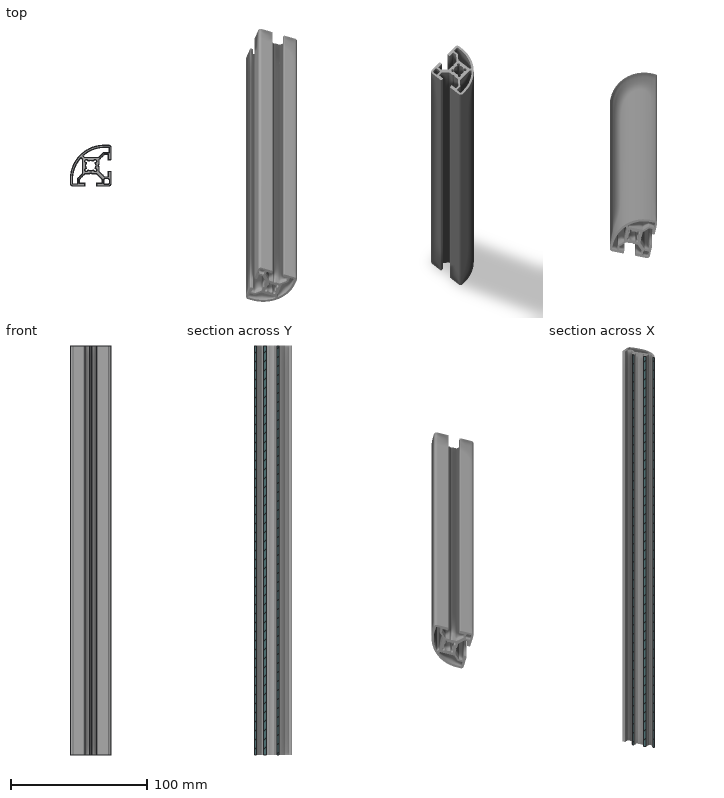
import cadquery as cq
import math

SIZE = 30.0
LENGTH = 300.0
HALF = SIZE / 2

ARC_RADIUS = 25.0
CORNER_RADIUS = 2.0
ARC_WALL = 1.65
LIP_WALL = 1.6

SLOT_OPENING = 8.45
SLOT_WIDTH = 16.5
LIP_THICKNESS = 2.2
LIP_FILLET = 0.6
FLOOR_WIDTH = 8.6
FLOOR_FILLET = 0.3
GROOVE_HALF_WIDTH = 1.0
GROOVE_SLOPE = math.radians(30)

CORE_HALF = 6.05
BORE_HALF = 3.2
BORE_RADIUS = 3.7
RELIEF_RADIUS = 1.1

WEB = 1.35
BRIDGE = 2.0
CORNER_WALL = 1.35
CORNER_CAVITY_FILLET = 0.9

ARC_CENTRE = (HALF - (SIZE - ARC_RADIUS), (SIZE - ARC_RADIUS) - HALF)
INNER_ARC_RADIUS = ARC_RADIUS - ARC_WALL
SLOT_HALF = SLOT_WIDTH / 2
CAVITY_EDGE = SLOT_HALF + WEB


def on_arc(radius, angle):
    """Point on a circle about ARC_CENTRE, at an angle up from the -X direction."""
    return ARC_CENTRE[0] - radius * math.cos(angle), ARC_CENTRE[1] + radius * math.sin(angle)


def vertical_edge(x, y):
    return cq.selectors.NearestToPointSelector((x, y, LENGTH / 2))


def fillet_at(body, points, radius):
    for x, y in points:
        body = body.edges("|Z").edges(vertical_edge(x, y)).fillet(radius)
    return body


def across_diagonal(solid):
    """Mirror image that swaps the -Y side with the +X side."""
    return solid.mirror("YZ").rotate((0, 0, 0), (0, 0, 1), 90)


def envelope():
    corners = [(-HALF, -HALF), (HALF, -HALF), (HALF, HALF)]
    body = (
        cq.Workplane("XY")
        .polyline([(-HALF, ARC_CENTRE[1]), *corners, (ARC_CENTRE[0], HALF)])
        .threePointArc(on_arc(ARC_RADIUS, math.pi / 4), (-HALF, ARC_CENTRE[1]))
        .close()
        .extrude(LENGTH)
    )
    return fillet_at(body, corners, CORNER_RADIUS)


def bottom_slot():
    """T-slot with 45 degree flanks beside its floor, a V-groove along it and rounded lip edges."""
    flank_run = SLOT_HALF - FLOOR_WIDTH / 2
    mouth = SLOT_OPENING / 2
    lip_top = LIP_THICKNESS - HALF
    right_half = [
        (mouth, lip_top),
        (SLOT_HALF, lip_top),
        (SLOT_HALF, -CORE_HALF - flank_run),
        (FLOOR_WIDTH / 2, -CORE_HALF),
        (GROOVE_HALF_WIDTH, -CORE_HALF),
    ]
    left_half = [(-x, y) for x, y in reversed(right_half)]
    groove_apex = (0, GROOVE_HALF_WIDTH * math.tan(GROOVE_SLOPE) - CORE_HALF)
    arc_offset = LIP_FILLET * (1 - math.sqrt(0.5))
    slot = (
        cq.Workplane("XY")
        .polyline([(mouth, LIP_FILLET - HALF), *right_half, groove_apex, *left_half])
        .lineTo(-mouth, LIP_FILLET - HALF)
        .threePointArc((-mouth - arc_offset, arc_offset - HALF), (-mouth - LIP_FILLET, -HALF))
        .lineTo(mouth + LIP_FILLET, -HALF)
        .threePointArc((mouth + arc_offset, arc_offset - HALF), (mouth, LIP_FILLET - HALF))
        .close()
        .extrude(LENGTH)
    )
    floor_corners = [(side * FLOOR_WIDTH / 2, -CORE_HALF) for side in (-1, 1)]
    return fillet_at(slot, floor_corners, FLOOR_FILLET)


def core_bore():
    side = 2 * BORE_HALF
    square = cq.Workplane("XY").rect(side, side).extrude(LENGTH)
    reliefs = cq.Workplane("XY").rect(side, side, forConstruction=True).vertices()
    hole = cq.Workplane("XY").circle(BORE_RADIUS).extrude(LENGTH)
    return square.union(reliefs.circle(RELIEF_RADIUS).extrude(LENGTH)).union(hole)


def left_cavity():
    """Hollow between the curved skin, the core and the left flank of the bottom slot."""
    flank_shift = CORE_HALF - FLOOR_WIDTH / 2 - WEB * math.sqrt(2)
    bridge_angle = math.pi / 4 - math.asin(BRIDGE / 2 / INNER_ARC_RADIUS)
    skin = ARC_WALL - HALF
    floor = LIP_WALL - HALF
    return (
        cq.Workplane("XY")
        .moveTo(*on_arc(INNER_ARC_RADIUS, bridge_angle))
        .threePointArc(on_arc(INNER_ARC_RADIUS, bridge_angle / 2), (skin, ARC_CENTRE[1]))
        .lineTo(skin, floor)
        .lineTo(-CAVITY_EDGE, floor)
        .lineTo(-CAVITY_EDGE, -CAVITY_EDGE - flank_shift)
        .lineTo(-CORE_HALF, -CORE_HALF - flank_shift)
        .lineTo(-CORE_HALF, CORE_HALF - BRIDGE / math.sqrt(2))
        .close()
        .extrude(LENGTH)
    )


def corner_cavity():
    width = HALF - CORNER_WALL - CAVITY_EDGE
    centre = CAVITY_EDGE + width / 2
    block = cq.Workplane("XY").center(centre, -centre).rect(width, width).extrude(LENGTH)
    return block.edges("|Z").fillet(CORNER_CAVITY_FILLET)


result = envelope().cut(core_bore()).cut(corner_cavity())
for hollow in (bottom_slot(), left_cavity()):
    result = result.cut(hollow).cut(across_diagonal(hollow))